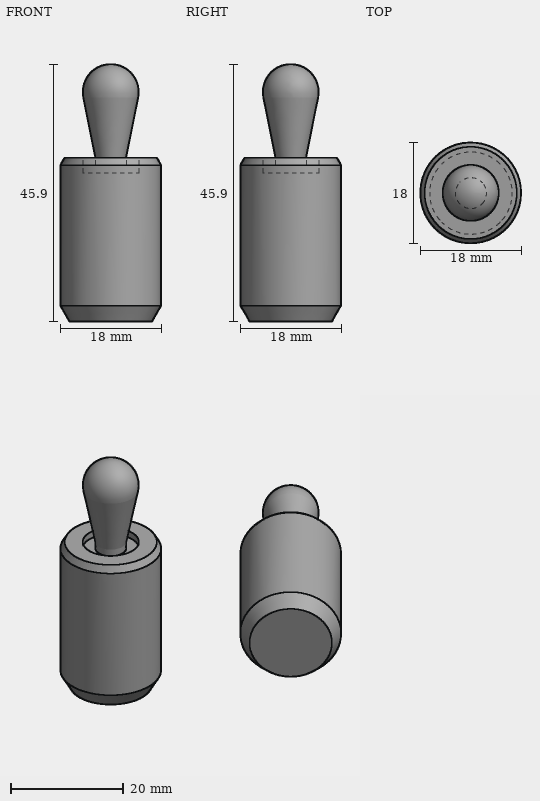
import cadquery as cq
import math

housing_radius = 9.0
housing_height = 29.25
top_bevel_height = 1.35
top_bevel_inset = 0.8
bottom_bevel_height = 2.9
bottom_bevel_inset = 1.65

bore_radius = 5.0
flange_sink = 1.35
flange_top = housing_height - flange_sink

flange_thickness = 1.35
flange_bottom = flange_top - flange_thickness
overall_height = 45.9
ball_radius = 5.0
neck_radius = 2.75
ball_center = overall_height - ball_radius


def make_housing():
    """Turned body with a bevel at each end and a flat-bottomed bore that fits the pin flange."""
    return (
        cq.Workplane("XZ")
        .lineTo(housing_radius - bottom_bevel_inset, 0)
        .lineTo(housing_radius, bottom_bevel_height)
        .lineTo(housing_radius, housing_height - top_bevel_height)
        .lineTo(housing_radius - top_bevel_inset, housing_height)
        .lineTo(bore_radius, housing_height)
        .lineTo(bore_radius, flange_bottom)
        .lineTo(0, flange_bottom)
        .close()
        .revolve(360, (0, 0, 0), (0, 1, 0))
    )


def make_pin():
    """Ball-headed pin filling the bottom of the bore, its neck level with the housing top."""
    drop = ball_center - housing_height
    edge_distance = math.hypot(neck_radius, drop)
    cone_angle = math.asin(ball_radius / edge_distance) - math.atan2(neck_radius, drop)
    tangent_radius = ball_radius * math.cos(cone_angle)
    tangent_height = ball_center - ball_radius * math.sin(cone_angle)

    arc_angle = (math.pi / 2 - cone_angle) / 2
    arc_middle = (
        ball_radius * math.cos(arc_angle),
        ball_center + ball_radius * math.sin(arc_angle),
    )
    return (
        cq.Workplane("XZ")
        .moveTo(0, flange_bottom)
        .lineTo(bore_radius, flange_bottom)
        .lineTo(bore_radius, flange_top)
        .lineTo(neck_radius, flange_top)
        .lineTo(neck_radius, housing_height)
        .lineTo(tangent_radius, tangent_height)
        .threePointArc(arc_middle, (0, overall_height))
        .close()
        .revolve(360, (0, 0, 0), (0, 1, 0))
    )


housing = make_housing()
pin = make_pin()
result = cq.Compound.makeCompound([housing.val(), pin.val()])